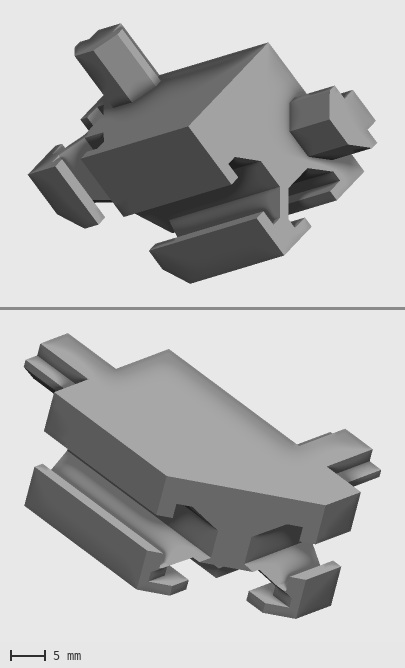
import cadquery as cq
import math


body_length = 40.0
body_height = 23.9
thickness = 20.0
corner_cut = body_length * (math.sqrt(2) - 1)
tilt_angle = 45.0

center_offset = 10.0

slot_opening_width = 6.25
slot_cavity_width = 11.25
slot_floor_width = 4.75
slot_lip_depth = 1.7
slot_shoulder_depth = 3.35
slot_depth = 6.55

tab_neck_width = 5.75
tab_head_width = 10.6
tab_tip_width = 4.65
tab_neck_depth = 2.1
tab_shoulder_depth = 3.35
tab_depth = 6.35
long_side_tab_length = 9.6
short_side_tab_length = 10.0

front_y = -thickness / 2
back_y = thickness / 2

ALONG_X = cq.Vector(1, 0, 0)
ALONG_Y = cq.Vector(0, 1, 0)
ALONG_Z = cq.Vector(0, 0, 1)


def tee_prism(start, direction, inward, length, widths, depths):
    """Prism of a T section with a tapered tip.

    The section starts on a face at `start`, deepens along `inward` and is swept along `direction`.
    """
    mouth_width, head_width, tip_width = widths
    mouth_depth, shoulder_depth, tip_depth = depths
    half_section = [
        (mouth_width / 2, 0),
        (mouth_width / 2, mouth_depth),
        (head_width / 2, mouth_depth),
        (head_width / 2, shoulder_depth),
        (tip_width / 2, tip_depth),
    ]
    mirrored_half = [(-across, depth) for across, depth in reversed(half_section)]
    section_plane = cq.Plane(origin=start, xDir=inward.cross(direction), normal=direction)
    return cq.Workplane(section_plane).polyline(half_section + mirrored_half).close().extrude(length)


def make_slot(start, direction, inward, length):
    widths = (slot_opening_width, slot_cavity_width, slot_floor_width)
    depths = (slot_lip_depth, slot_shoulder_depth, slot_depth)
    return tee_prism(start, direction, inward, length, widths, depths)


def make_tab(start, direction, length):
    widths = (tab_neck_width, tab_head_width, tab_tip_width)
    depths = (tab_neck_depth, tab_shoulder_depth, tab_depth)
    return tee_prism(start, direction, -ALONG_Y, length, widths, depths)


def make_body():
    outline = [
        (corner_cut, 0),
        (body_length, 0),
        (body_length, body_height),
        (0, body_height),
        (0, corner_cut),
    ]
    return cq.Workplane("XZ", origin=(0, back_y, 0)).polyline(outline).close().extrude(thickness)


def cut_slots(body):
    body = body.cut(make_slot((0, front_y, center_offset), ALONG_X, ALONG_Y, body_length))
    body = body.cut(make_slot((center_offset, front_y, 0), ALONG_Z, ALONG_Y, body_height))
    body = body.cut(make_slot((0, 0, 0), ALONG_X, ALONG_Z, body_length))
    return body.cut(make_slot((0, 0, 0), ALONG_Z, ALONG_X, body_height))


def add_tabs(body):
    body = body.union(make_tab((center_offset, back_y, body_height), ALONG_Z, long_side_tab_length))
    return body.union(make_tab((body_length, back_y, center_offset), ALONG_X, short_side_tab_length))


def stand_on_cut(part):
    """Tilt the part so that the corner cut lies flat at Z = 0."""
    tilted = part.rotate((0, 0, 0), (0, 1, 0), -tilt_angle)
    return tilted.translate((0, 0, -corner_cut / math.sqrt(2)))


result = stand_on_cut(add_tabs(cut_slots(make_body())))